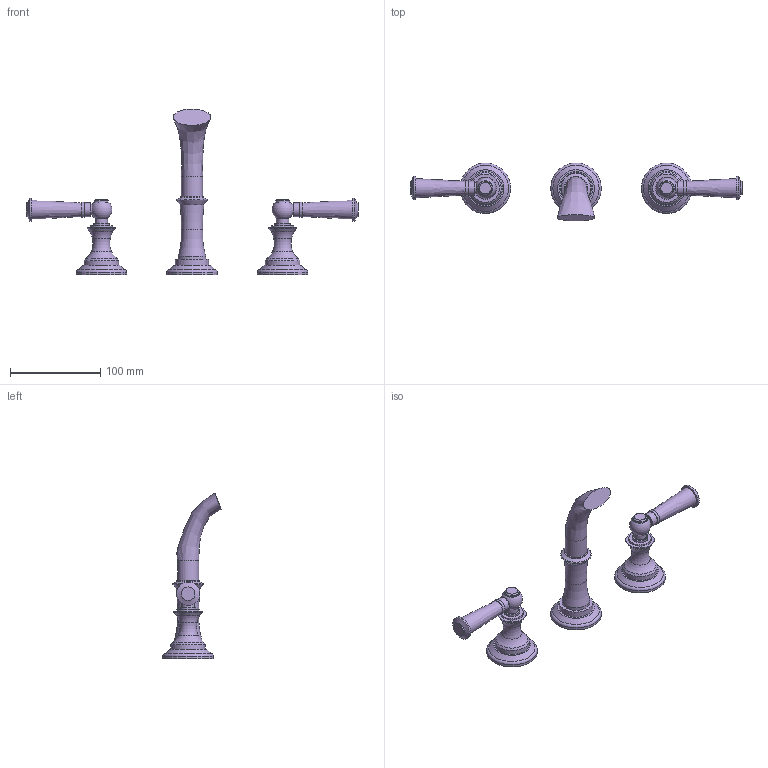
import cadquery as cq
import math


overall_width = 367.68
overall_height = 183.78
overall_depth = 64.5
handle_spacing = 100.4

base_radius = 28.0
rim_height = 2.8
rim_round_point = (27.4, 4.7)
slope_radius = 25.6
slope_height = 5.8
shoulder_radius = 20.5
shoulder_height = 10.5

collar_radius = 19.1
collar_height = 16.0
flare_radius = 17.5
flare_height = 18.2
flare_arc_point = (13.6, 21.9)
waist_bottom_radius = 11.1
waist_bottom_height = 25.8
waist_arc_point = (9.3, 33.5)
waist_top_radius = 9.9
waist_top_height = 40.3
cup_arc_point = (11.1, 44.5)
cup_underside_radius = 12.9
cup_underside_height = 48.0
cup_radius = 15.7
cup_edge_height = 51.5
cup_top = 52.5
step_radius = 12.4
step_height = 54.5
seat_radius = 8.6
seat_height = 57.0
stem_radius = 6.9

ball_radius = 11.8
ball_height = 72.2
cap_radius = 7.8
cap_chamfer = 1.4
cap_bottom = 80.6
cap_top = 83.6

lever_reach = overall_width / 2 - handle_spacing
lever_neck_radius = 6.0
lever_neck_end = 11.8
ferrule_radius = 7.6
ferrule_end = 19.2
ring_radius = 8.4
ring_end = 22.4
grip_start_radius = 7.7
grip_middle_radius = 9.2
grip_end_radius = 10.6
grip_end = 77.3
bead_radius = 13.0
bead_width = 2.2
end_disc_radius = 7.5
end_disc_depth = 1.4

plinth_radius = 18.5
plinth_height = 17.5
foot_radius = 15.2
foot_height = 20.7
tube_radius = 11.8
slim_height = 50.0
slim_to_foot_point = (12.6, 33.0)
slim_to_band_point = (12.1, 66.0)
band_bottom_radius = 13.2
band_bottom = 77.5
band_radius = 17.2
band_middle = 82.8
band_edge_round = 0.8
band_top_lip = 1.2
band_top_radius = 13.0
band_top = 87.0

bend_start = 109.0
bend_sections = [
    (1.3, 127.0, 13.0, 11.8, 11.3),
    (7.0, 146.0, 41.0, 12.9, 10.4),
    (14.0, 159.5, 53.0, 15.1, 9.8),
    (22.5, 168.4, 64.0, 18.0, 9.0),
]
mouth_half_width = 20.9
mouth_half_depth = 9.7
mouth_lean = 69.0
mouth_forward = overall_depth - base_radius - mouth_half_depth * math.cos(math.radians(mouth_lean))
mouth_height = overall_height - mouth_half_depth * math.sin(math.radians(mouth_lean))


def base_outline():
    """Half outline of the stepped base, from the axis out and up to its shoulder."""
    return (
        cq.Workplane("XZ")
        .lineTo(base_radius, 0)
        .lineTo(base_radius, rim_height)
        .threePointArc(rim_round_point, (slope_radius, slope_height))
        .lineTo(shoulder_radius, shoulder_height)
    )


def revolve_about_z(outline):
    return outline.close().revolve(360, (0, 0, 0), (0, 1, 0))


def make_handle_column():
    outline = (
        base_outline()
        .lineTo(collar_radius, shoulder_height)
        .lineTo(collar_radius, collar_height)
        .lineTo(flare_radius, flare_height)
        .threePointArc(flare_arc_point, (waist_bottom_radius, waist_bottom_height))
        .threePointArc(waist_arc_point, (waist_top_radius, waist_top_height))
        .threePointArc(cup_arc_point, (cup_underside_radius, cup_underside_height))
        .lineTo(cup_radius, cup_edge_height)
        .lineTo(cup_radius, cup_top)
        .lineTo(step_radius, cup_top)
        .lineTo(step_radius, step_height)
        .lineTo(seat_radius, step_height)
        .lineTo(seat_radius, seat_height)
        .lineTo(stem_radius, seat_height)
        .lineTo(stem_radius, ball_height)
        .lineTo(0, ball_height)
    )
    return revolve_about_z(outline)


def make_ball_and_cap():
    ball = cq.Workplane("XY").sphere(ball_radius).translate((0, 0, ball_height))
    above_ball = (
        cq.Workplane("XY")
        .workplane(offset=cap_bottom)
        .circle(ball_radius)
        .extrude(ball_radius)
    )
    cap = (
        cq.Workplane("XY")
        .workplane(offset=cap_bottom)
        .circle(cap_radius)
        .extrude(cap_top - cap_bottom)
        .faces(">Z")
        .chamfer(cap_chamfer)
    )
    return ball.cut(above_ball).union(cap)


def make_lever():
    """Lever turned about the X direction, reaching from the ball centre to +X."""
    bead_end = grip_end + bead_width
    disc_start = lever_reach - end_disc_depth
    grip_middle = (ring_end + grip_end) / 2
    outline = (
        cq.Workplane("XY")
        .lineTo(0, lever_neck_radius)
        .lineTo(lever_neck_end, lever_neck_radius)
        .lineTo(lever_neck_end, ferrule_radius)
        .lineTo(ferrule_end, ferrule_radius)
        .lineTo(ferrule_end, ring_radius)
        .lineTo(ring_end, ring_radius)
        .lineTo(ring_end, grip_start_radius)
        .threePointArc((grip_middle, grip_middle_radius), (grip_end, grip_end_radius))
        .lineTo(grip_end, bead_radius)
        .lineTo(bead_end, bead_radius)
        .lineTo(disc_start, end_disc_radius)
        .lineTo(lever_reach, end_disc_radius)
        .lineTo(lever_reach, 0)
    )
    lever = outline.close().revolve(360, (0, 0, 0), (1, 0, 0))
    return lever.translate((0, 0, ball_height))


def make_handle(side):
    """One handle; side is +1 or -1 and sets which way the lever points along X."""
    handle = make_handle_column().union(make_ball_and_cap()).union(make_lever())
    if side < 0:
        handle = handle.mirror("YZ")
    return handle.translate((side * handle_spacing, 0, 0))


def make_spout_column():
    band_edge_radius = band_radius - band_edge_round
    outline = (
        base_outline()
        .lineTo(plinth_radius, shoulder_height)
        .lineTo(plinth_radius, plinth_height)
        .lineTo(foot_radius, plinth_height)
        .lineTo(foot_radius, foot_height)
        .threePointArc(slim_to_foot_point, (tube_radius, slim_height))
        .threePointArc(slim_to_band_point, (band_bottom_radius, band_bottom))
        .lineTo(band_edge_radius, band_middle - band_edge_round)
        .threePointArc((band_radius, band_middle), (band_edge_radius, band_middle + band_edge_round))
        .lineTo(band_top_radius, band_top - band_top_lip)
        .lineTo(band_top_radius, band_top)
        .lineTo(tube_radius, band_top)
        .lineTo(tube_radius, bend_start)
        .lineTo(0, bend_start)
    )
    return revolve_about_z(outline)


def spout_section(forward, height, lean, half_width, half_depth):
    """Elliptical spout section facing a direction that leans from +Z towards -Y."""
    lean_angle = math.radians(lean)
    return cq.Wire.makeEllipse(
        half_width,
        half_depth,
        cq.Vector(0, -forward, height),
        cq.Vector(0, -math.sin(lean_angle), math.cos(lean_angle)),
        cq.Vector(1, 0, 0),
    )


def make_spout_bend():
    """Round tube that bends forward while widening into a flat elliptical mouth."""
    sections = [
        spout_section(0, bend_start, 0, tube_radius, tube_radius),
        *[spout_section(*section) for section in bend_sections],
        spout_section(mouth_forward, mouth_height, mouth_lean, mouth_half_width, mouth_half_depth),
    ]
    return cq.Workplane(obj=cq.Solid.makeLoft(sections))


spout = make_spout_column().union(make_spout_bend())
handles = [make_handle(side) for side in (-1, 1)]

result = cq.Compound.makeCompound([spout.val()] + [handle.val() for handle in handles])